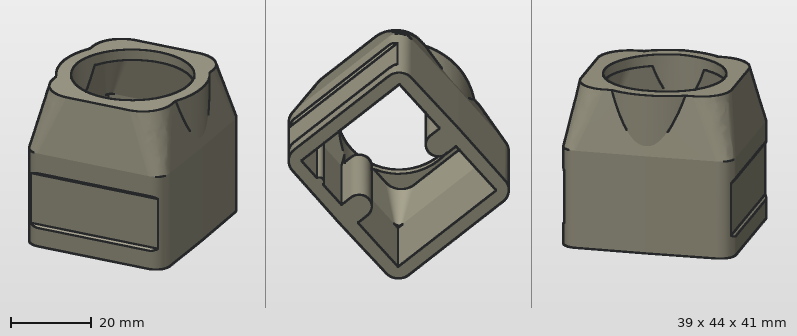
import cadquery as cq
import math

length_x = 39.0
length_y = 44.0
height = 41.0
shoulder_z = 25.2
side_bend = 0.2
base_corner_radius = 4.0
top_half_x = 16.5
top_half_y = 19.25
top_corner_radius = 8.0
roof_drop = 0.25

bore_radius = 30.6 / 2
collar_radius = 19.05
collar_base_z = 26.0

recess_bottom_z = 5.7
recess_top_z = 19.2
recess_depth = 0.7

plate_thickness = 3.0
ceiling_z = height - plate_thickness
cavity_half_x = 15.9
cavity_half_y = 18.6
cavity_top_half_x = 13.8
cavity_top_half_y = 16.4
cavity_base_corner_radius = 1.5
cavity_top_corner_radius = 5.0

boss_radius = 3.15
boss_tip_x = 9.7
boss_top_z = 26.0

rib_radius = 1.22
rib_x = 16.15
rib_y = 11.4


def rounded_outline(half_x, half_y, radius, z, bend=0.0):
    """Rounded rectangle whose X sides are bent outward at y = 0."""
    straight_x = half_x - radius
    straight_y = half_y - radius
    diagonal = radius * math.sqrt(0.5)
    arc_x = straight_x + diagonal
    arc_y = straight_y + diagonal
    return (
        cq.Workplane("XY", origin=(0, 0, z))
        .moveTo(half_x + bend, 0)
        .lineTo(half_x, straight_y)
        .threePointArc((arc_x, arc_y), (straight_x, half_y))
        .lineTo(-straight_x, half_y)
        .threePointArc((-arc_x, arc_y), (-half_x, straight_y))
        .lineTo(-half_x - bend, 0)
        .lineTo(-half_x, -straight_y)
        .threePointArc((-arc_x, -arc_y), (-straight_x, -half_y))
        .lineTo(straight_x, -half_y)
        .threePointArc((arc_x, -arc_y), (half_x, -straight_y))
        .close()
    )


def taper(lower, upper):
    """Straight-sided loft between two outlines."""
    wires = [lower.val(), upper.val()]
    return cq.Workplane(cq.Solid.makeLoft(wires, True))


def cylinder(radius, bottom_z, top_z, x=0.0, y=0.0):
    return cq.Workplane("XY", origin=(x, y, bottom_z)).circle(radius).extrude(top_z - bottom_z)


def box_from_floor(size_x, size_y, top_z, x=0.0):
    return cq.Workplane("XY", origin=(x, 0, 0)).rect(size_x, size_y).extrude(top_z)


def outer_body():
    half_x = length_x / 2 - side_bend
    half_y = length_y / 2
    base = rounded_outline(half_x, half_y, base_corner_radius, 0, side_bend).extrude(shoulder_z)
    shoulder = rounded_outline(half_x, half_y, base_corner_radius, shoulder_z, side_bend)
    top = rounded_outline(top_half_x, top_half_y, top_corner_radius, height, side_bend)
    collar = cylinder(collar_radius, collar_base_z, height)
    return base.union(taper(shoulder, top)).union(collar)


def roof_envelope():
    """Full-length prism whose top falls gently from y = 0 to both Y sides."""
    half_y = length_y / 2
    eave_z = height - roof_drop * half_y / top_half_y
    outline = [(-half_y, 0), (half_y, 0), (half_y, eave_z), (0, height), (-half_y, eave_z)]
    return cq.Workplane("YZ").polyline(outline).close().extrude(length_x / 2, both=True)


def label_recess(side):
    """Trapezoidal channel across the Y face on the given side (-1 or 1)."""
    face_y = side * length_y / 2
    floor_y = side * (length_y / 2 - recess_depth)
    outline = [
        (face_y, recess_bottom_z - recess_depth),
        (floor_y, recess_bottom_z),
        (floor_y, recess_top_z),
        (face_y, recess_top_z + recess_depth),
    ]
    return cq.Workplane("YZ").polyline(outline).close().extrude(length_x / 2, both=True)


def cavity():
    lower = box_from_floor(2 * cavity_half_x, 2 * cavity_half_y, shoulder_z)
    shoulder = rounded_outline(cavity_half_x, cavity_half_y, cavity_base_corner_radius, shoulder_z)
    ceiling = rounded_outline(
        cavity_top_half_x, cavity_top_half_y, cavity_top_corner_radius, ceiling_z
    )
    return lower.union(taper(shoulder, ceiling))


def wall_boss(side):
    """Round-nosed boss that stands on the inner X wall on the given side."""
    nose_x = boss_tip_x + boss_radius
    root_x = (cavity_half_x + length_x / 2) / 2
    nose = cylinder(boss_radius, 0, ceiling_z, side * nose_x)
    root_middle = side * (nose_x + root_x) / 2
    root = box_from_floor(root_x - nose_x, 2 * boss_radius, ceiling_z, root_middle)
    return nose.union(root)


def wall_rib():
    """Round rib, partly buried in the wall, running up into the sloping cavity side."""
    return cylinder(rib_radius, 0, ceiling_z, rib_x, rib_y)


hollow = cavity().cut(wall_rib())
for x_side in (-1, 1):
    hollow = hollow.cut(wall_boss(x_side))

bore = cylinder(bore_radius, boss_top_z, height)

body = outer_body().intersect(roof_envelope()).cut(hollow).cut(bore)
for y_side in (-1, 1):
    body = body.cut(label_recess(y_side))

result = body